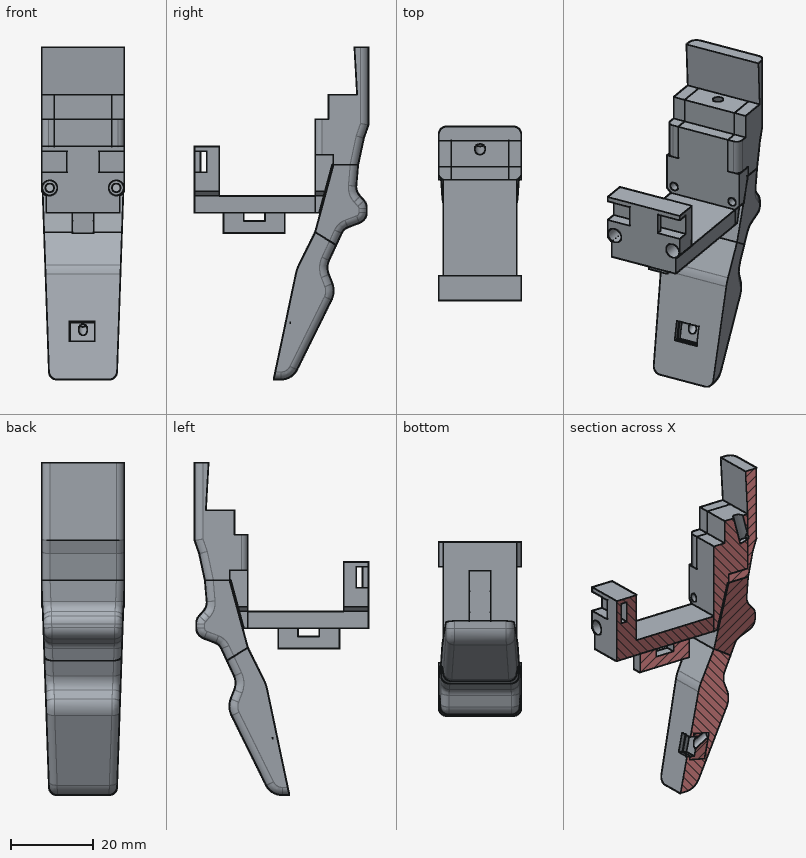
import cadquery as cq
import math


HALF_WIDTH = 10.005
TOTAL_HEIGHT = 80.4
BACK_Y = 12.9
TIP_Y = -10.05

TIP_HALF_WIDTH = 8.2
BACK_EDGE_RADIUS = 2.0
BLANK_FRONT_Y = -32.15
TOLERANCE = 0.1
UPPER_JOINT_Z = 52.0
UPPER_JOINT_BACK = (10.45, UPPER_JOINT_Z)
LOWER_JOINT_FRONT = (0.0, 35.7)
LOWER_JOINT_SLOPE = 0.62
BEHIND_Y = 2 * BACK_Y
LOWER_JOINT_BEHIND = (BEHIND_Y, LOWER_JOINT_FRONT[1] - LOWER_JOINT_SLOPE * BEHIND_Y)
KNEE = (-4.4, 26.8)
KNEE_RADIUS = 8.8

WALL_TOP_Y = 9.5
WALL_BASE_Y = 10.1
SHOULDER_Y = 3.2
SHOULDER_Z = 68.9
LEDGE_Z = 63.0
CHEEK_RADIUS = 1.6
CORE_HALF_WIDTH = 6.9

PLATE_TOP_Z = 54.4
PLATE_BACK_Y = 4.4
PLATE_GAP = 0.25

ARM_BOTTOM_Z = 40.35
ARM_TOP_Z = 44.4
ARM_HALF_WIDTH = 8.9
UPRIGHT_FRONT_Y = -29.2
UPRIGHT_BACK_Y = -23.15
UPRIGHT_TOP_Z = 56.4
SLOT_BOTTOM_Z = 50.15
SLOT_TOP_Z = 55.2
SLOT_BACK_Y = -26.2
SLOT_FRONT_Y = -27.65
NOTCH_LENGTH = 6.1

SCREW_X = 8.0
SCREW_Z = 46.4
CLEARANCE_DIAMETER = 3.6
THREAD_DIAMETER = 2.1

LOOP_HALF_WIDTH = 2.6
LOOP_BACK_Y = -7.3
LOOP_FRONT_Y = -22.2
LOOP_BOTTOM_Z = 35.4
WINDOW_BACK_Y = -12.1
WINDOW_FRONT_Y = -17.2
WINDOW_BOTTOM_Z = 38.4

TOP_HOLE_DIAMETER = 2.5
TOP_HOLE_Y = 7.4
TOP_HOLE_DEPTH = 7.2
TOP_HOLE_TILT = 15.0

POCKET_LEFT = -3.3
POCKET_INNER_LEFT = -3.05
POCKET_RIGHT = 2.8
POCKET_CENTRE_Z = 11.7
POCKET_HEIGHT = 5.0
POCKET_STEP_DEPTH = 1.1
INSERT_MARGIN = 0.8
INSERT_THICKNESS = 4.4
CORD_HOLE_DIAMETER = 2.1
CORD_HOLE_Z = 12.05
CORD_HOLE_RISE = 28.0


def box(x_range, y_range, z_range):
    """Axis-aligned box between the given limits."""
    size = [high - low for low, high in (x_range, y_range, z_range)]
    return cq.Workplane("XY").box(*size, centered=False).translate((x_range[0], y_range[0], z_range[0]))


def rounded_outline(corners):
    """Closed outline in the YZ plane; each corner is (y, z) or (y, z, radius)."""
    stretches = []
    for index, corner in enumerate(corners):
        point = cq.Vector(corner[0], corner[1])
        if len(corner) == 2:
            stretches.append([point])
            continue
        before = cq.Vector(*corners[index - 1][:2])
        after = cq.Vector(*corners[(index + 1) % len(corners)][:2])
        to_before = (before - point).normalized()
        to_after = (after - point).normalized()
        half_angle = to_before.getAngle(to_after) / 2
        reach = corner[2] / math.tan(half_angle)
        bisector = (to_before + to_after).normalized()
        middle = point + bisector * (corner[2] / math.sin(half_angle) - corner[2])
        stretches.append([point + to_before * reach, middle, point + to_after * reach])
    outline = cq.Workplane("YZ").moveTo(*stretches[0][-1].toTuple()[:2])
    for stretch in stretches[1:]:
        outline = outline.lineTo(*stretch[0].toTuple()[:2])
        if len(stretch) == 3:
            outline = outline.threePointArc(stretch[1].toTuple()[:2], stretch[2].toTuple()[:2])
    return outline.close()


def prism(corners, half_width=HALF_WIDTH):
    """Symmetric extrusion along X of an outline in the YZ plane."""
    return rounded_outline(corners).extrude(half_width, both=True)


def screw_holes(diameter, y_low, y_high):
    """Pair of cylinders along Y at the screw positions."""
    return (
        cq.Workplane("XZ", origin=(0, y_high, 0))
        .pushPoints([(-SCREW_X, SCREW_Z), (SCREW_X, SCREW_Z)])
        .circle(diameter / 2)
        .extrude(y_high - y_low)
    )


def tilted_hole(mouth, direction, diameter, length):
    """Cylinder from the mouth along the direction, started a little outside the mouth."""
    axis = cq.Vector(*direction).normalized()
    start = cq.Vector(*mouth) - axis * diameter
    return cq.Workplane(obj=cq.Solid.makeCylinder(diameter / 2, length + diameter, start, axis))


def round_back_edges(blank, end_levels):
    """Round the side edges along the back, leaving the front and the flat ends sharp."""

    def is_back_side_edge(edge):
        centre = edge.Center()
        at_side = abs(centre.x) > TIP_HALF_WIDTH - TOLERANCE
        at_front = centre.y < BLANK_FRONT_Y + TOLERANCE
        at_end = any(abs(centre.z - level) < TOLERANCE for level in end_levels)
        return at_side and not at_front and not at_end

    return blank.edges().filter(is_back_side_edge).fillet(BACK_EDGE_RADIUS)


def shell_blank():
    blank = prism([
        (BLANK_FRONT_Y, TOTAL_HEIGHT),
        (BACK_Y, TOTAL_HEIGHT),
        (BACK_Y, 61.6),
        (11.8, 58.4),
        UPPER_JOINT_BACK,
        (BLANK_FRONT_Y, UPPER_JOINT_Z),
    ])
    return round_back_edges(blank, (UPPER_JOINT_Z, TOTAL_HEIGHT))


def grip_blank():
    """Middle and lower grip together, narrowing evenly towards the tip."""
    blank = prism([
        (BLANK_FRONT_Y, UPPER_JOINT_Z),
        UPPER_JOINT_BACK,
        (9.9, 45.5, 3.2),
        (12.5, 42.6, 2.9),
        (12.5, 38.6, 2.9),
        (6.9, 36.4, 2.6),
        (2.65, 27.25, 4.25),
        (5.0, 21.3, 5.0),
        (-5.55, 0, 4.4),
        (BLANK_FRONT_Y, 0),
    ])
    side_outline = [
        (-TIP_HALF_WIDTH, 0),
        (TIP_HALF_WIDTH, 0),
        (HALF_WIDTH, UPPER_JOINT_Z),
        (-HALF_WIDTH, UPPER_JOINT_Z),
    ]
    taper = cq.Workplane("XZ").polyline(side_outline).close().extrude(-2 * BLANK_FRONT_Y, both=True)
    return round_back_edges(blank.intersect(taper), (UPPER_JOINT_Z,))


grip = grip_blank()

top_tilt = math.radians(TOP_HOLE_TILT)
top_hole = tilted_hole(
    (0, TOP_HOLE_Y, SHOULDER_Z), (0, math.sin(top_tilt), -math.cos(top_tilt)), TOP_HOLE_DIAMETER, TOP_HOLE_DEPTH
)


def core_block():
    return prism([
        (WALL_BASE_Y, SHOULDER_Z),
        (WALL_BASE_Y, PLATE_TOP_Z),
        (0, PLATE_TOP_Z),
        (0, LEDGE_Z),
        (SHOULDER_Y, LEDGE_Z),
        (SHOULDER_Y, SHOULDER_Z),
    ], CORE_HALF_WIDTH)


def make_shell():
    outline = [
        (BACK_Y, TOTAL_HEIGHT),
        (WALL_TOP_Y, TOTAL_HEIGHT),
        (WALL_BASE_Y, SHOULDER_Z),
        (SHOULDER_Y, SHOULDER_Z),
        (SHOULDER_Y, LEDGE_Z),
        (0, LEDGE_Z),
        (0, PLATE_TOP_Z),
        (PLATE_BACK_Y, PLATE_TOP_Z),
        (PLATE_BACK_Y, UPPER_JOINT_Z),
        (BACK_Y, UPPER_JOINT_Z),
    ]
    stepped = prism(outline).edges("|Z and <Y").fillet(CHEEK_RADIUS)
    return shell_blank().intersect(stepped).cut(core_block()).cut(top_hole)


def chamfered_outline(top_z):
    """Front outline in X and Z that steps in to the arm width through 45 degree chamfers."""
    chamfer = HALF_WIDTH - ARM_HALF_WIDTH
    right = [
        (ARM_HALF_WIDTH, ARM_BOTTOM_Z),
        (ARM_HALF_WIDTH, ARM_TOP_Z),
        (HALF_WIDTH, ARM_TOP_Z + chamfer),
        (HALF_WIDTH, top_z),
    ]
    left = [(-x, z) for x, z in reversed(right)]
    return right + left


def front_block(top_z, y_low, y_high):
    outline = chamfered_outline(top_z)
    return cq.Workplane("XZ", origin=(0, y_high, 0)).polyline(outline).close().extrude(y_high - y_low)


def middle_front_y(z):
    """Y of the front face of the middle grip at height z."""
    joint_y, joint_z = LOWER_JOINT_FRONT
    return joint_y + (PLATE_BACK_Y - joint_y) * (z - joint_z) / (UPPER_JOINT_Z - joint_z)


def make_plate():
    profile = prism([
        (0, PLATE_TOP_Z),
        (PLATE_BACK_Y, PLATE_TOP_Z),
        (PLATE_BACK_Y, UPPER_JOINT_Z),
        (PLATE_BACK_Y - PLATE_GAP, UPPER_JOINT_Z),
        (middle_front_y(ARM_BOTTOM_Z) - PLATE_GAP, ARM_BOTTOM_Z),
        (0, ARM_BOTTOM_Z),
    ])
    slab = front_block(PLATE_TOP_Z, 0, PLATE_BACK_Y).intersect(profile)
    slab = slab.cut(screw_holes(THREAD_DIAMETER, 0, PLATE_BACK_Y))
    return slab.union(core_block()).cut(top_hole)


def make_middle_grip():
    region = prism([
        (PLATE_BACK_Y, UPPER_JOINT_Z),
        LOWER_JOINT_FRONT,
        LOWER_JOINT_BEHIND,
        (BEHIND_Y, UPPER_JOINT_Z),
    ])
    return grip.intersect(region)


face_slope = math.atan2(KNEE[0] - TIP_Y, KNEE[1])


def lower_front_y(z):
    """Y of the lower grip's front face at height z, below the knee."""
    return TIP_Y + z * math.tan(face_slope)


def pocket_block(left, right, height, depth_start, depth_end):
    """Block between two depths below the front face, squared to that face."""
    frame = cq.Plane(
        origin=(0, lower_front_y(POCKET_CENTRE_Z), POCKET_CENTRE_Z),
        xDir=(1, 0, 0),
        normal=(0, -math.cos(face_slope), math.sin(face_slope)),
    )
    return (
        cq.Workplane(frame)
        .workplane(offset=-depth_start)
        .center((left + right) / 2, 0)
        .rect(right - left, height)
        .extrude(depth_start - depth_end)
    )


def insert_block():
    return pocket_block(
        POCKET_LEFT - INSERT_MARGIN,
        POCKET_RIGHT + INSERT_MARGIN,
        POCKET_HEIGHT + 2 * INSERT_MARGIN,
        POCKET_STEP_DEPTH,
        POCKET_STEP_DEPTH + INSERT_THICKNESS,
    )


def make_lower_grip():
    region = prism([
        LOWER_JOINT_BEHIND,
        LOWER_JOINT_FRONT,
        (*KNEE, KNEE_RADIUS),
        (TIP_Y, 0),
        (BEHIND_Y, 0),
    ])
    opening = pocket_block(POCKET_LEFT, POCKET_RIGHT, POCKET_HEIGHT, 0, POCKET_STEP_DEPTH)
    return grip.intersect(region).cut(opening).cut(insert_block())


def make_insert():
    recess = pocket_block(
        POCKET_INNER_LEFT, POCKET_RIGHT, POCKET_HEIGHT, POCKET_STEP_DEPTH, 2 * POCKET_STEP_DEPTH
    )
    rise = math.radians(CORD_HOLE_RISE)
    floor_y = lower_front_y(CORD_HOLE_Z) + 2 * POCKET_STEP_DEPTH / math.cos(face_slope)
    cord_hole = tilted_hole(
        (0, floor_y, CORD_HOLE_Z), (0, math.cos(rise), math.sin(rise)), CORD_HOLE_DIAMETER, 2 * INSERT_THICKNESS
    )
    return insert_block().cut(recess).cut(cord_hole)


def make_arm():
    arm = box((-ARM_HALF_WIDTH, ARM_HALF_WIDTH), (UPRIGHT_BACK_Y, 0), (ARM_BOTTOM_Z, ARM_TOP_Z))
    arm = arm.union(front_block(UPRIGHT_TOP_Z, UPRIGHT_FRONT_Y, UPRIGHT_BACK_Y))
    slot_heights = (SLOT_BOTTOM_Z, SLOT_TOP_Z)
    arm = arm.cut(box((-HALF_WIDTH, HALF_WIDTH), (SLOT_FRONT_Y, SLOT_BACK_Y), slot_heights))
    for outer_x, inner_x in ((-HALF_WIDTH, NOTCH_LENGTH - HALF_WIDTH), (HALF_WIDTH, HALF_WIDTH - NOTCH_LENGTH)):
        x_range = sorted((outer_x, inner_x))
        arm = arm.cut(box(x_range, (UPRIGHT_FRONT_Y, SLOT_FRONT_Y), slot_heights))
    return arm.cut(screw_holes(CLEARANCE_DIAMETER, UPRIGHT_FRONT_Y, UPRIGHT_BACK_Y))


def make_loop():
    width = (-LOOP_HALF_WIDTH, LOOP_HALF_WIDTH)
    loop = box(width, (LOOP_FRONT_Y, LOOP_BACK_Y), (LOOP_BOTTOM_Z, ARM_BOTTOM_Z))
    return loop.cut(box(width, (WINDOW_FRONT_Y, WINDOW_BACK_Y), (WINDOW_BOTTOM_Z, ARM_BOTTOM_Z)))


shell = make_shell()
plate = make_plate()
middle_grip = make_middle_grip()
lower_grip = make_lower_grip()
insert = make_insert()
arm = make_arm()
loop = make_loop()

result = cq.Compound.makeCompound([
    shell.val(),
    plate.val(),
    middle_grip.val(),
    lower_grip.val(),
    insert.val(),
    arm.val(),
    loop.val(),
])